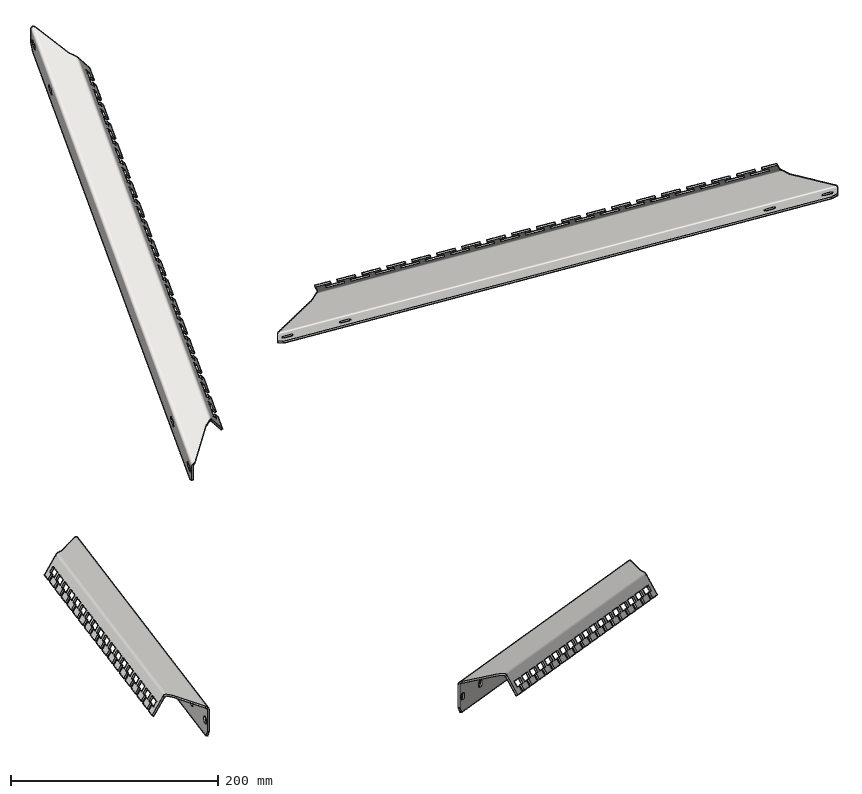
import cadquery as cq
import math

length = 560.5
depth = 45.5
height = 32.0

thickness = 1.95
inner_radius = 1.5
outer_radius = inner_radius + thickness

flange_angle = math.radians(60)
flange_drop = 21.5
flange_length = 462.5
flange_run = flange_drop / math.tan(flange_angle)
back_corner_y = depth - flange_run

bend_end_length = 558.5
splay_y = 26.5
splay_length = 477.5
splay_end_y = 33.5

wall_chamfer = 6.0
hole_length = 11.0
hole_width = 6.0
hole_z = 15.0
hole_offsets = (212.5, 270.0)

notch_count = 18
notch_span = 425.0
notch_pitch = notch_span / (notch_count - 1)
mouth_width = 7.0
head_width = 18.5
lip = 7.0
head_depth = 6.0


def bent_strip():
    """Front wall, top web and sloping flange with rounded bends."""
    tip = (depth, height - flange_drop)
    inner_tip = (
        depth - thickness * math.sin(flange_angle),
        height - flange_drop - thickness * math.cos(flange_angle),
    )
    inner_corner_y = back_corner_y - thickness * math.tan(flange_angle / 2)
    outline = [
        (0, 0),
        (0, height),
        (back_corner_y, height),
        tip,
        inner_tip,
        (inner_corner_y, height - thickness),
        (thickness, height - thickness),
        (thickness, 0),
    ]
    strip = cq.Workplane("YZ").polyline(outline).close().extrude(length / 2, both=True)

    for corner_y, corner_z, radius in (
        (0, height, outer_radius),
        (back_corner_y, height, outer_radius),
        (thickness, height - thickness, inner_radius),
        (inner_corner_y, height - thickness, inner_radius),
    ):
        corner = cq.selectors.NearestToPointSelector((0, corner_y, corner_z))
        strip = strip.edges("|X").edges(corner).fillet(radius)
    return strip


def plan_blank():
    """Plan outline that trims the ends of the web and the flange."""
    right_side = [
        (length / 2, 0),
        (length / 2, thickness),
        (bend_end_length / 2, outer_radius),
        (splay_length / 2, splay_y),
        (flange_length / 2, splay_end_y),
        (flange_length / 2, depth),
    ]
    left_side = [(-x, y) for x, y in reversed(right_side)]
    return cq.Workplane("XY").polyline(right_side + left_side).close().extrude(height)


def wall_holes():
    """Horizontal oblong holes through the front wall."""
    centers = [(side * offset, hole_z) for offset in hole_offsets for side in (-1, 1)]
    return (
        cq.Workplane("XZ")
        .pushPoints(centers)
        .slot2D(hole_length, hole_width)
        .extrude(-thickness)
    )


def flange_notches():
    """T-shaped notches open at the flange edge, cut square to the flange."""
    flange_face = cq.Plane(
        origin=(0, depth, height - flange_drop),
        xDir=(1, 0, 0),
        normal=(0, math.sin(flange_angle), math.cos(flange_angle)),
    )
    xs = [i * notch_pitch - notch_span / 2 for i in range(notch_count)]
    mouths = (
        cq.Workplane(flange_face)
        .pushPoints([(x, -lip / 2) for x in xs])
        .rect(mouth_width, lip)
        .extrude(-thickness)
    )
    heads = (
        cq.Workplane(flange_face)
        .pushPoints([(x, -lip - head_depth / 2) for x in xs])
        .rect(head_width, head_depth)
        .extrude(-thickness)
    )
    return mouths.union(heads)


def bottom_corners():
    """Triangular prisms that clip the lower corners of the front wall."""
    edge = length / 2
    right = [(edge, 0), (edge, wall_chamfer), (edge - wall_chamfer, 0)]
    corner = cq.Workplane("XZ").polyline(right).close().extrude(-thickness)
    return corner.union(corner.mirror("YZ"))


trimmed = bent_strip().intersect(plan_blank()).cut(bottom_corners())
result = trimmed.cut(wall_holes()).cut(flange_notches())